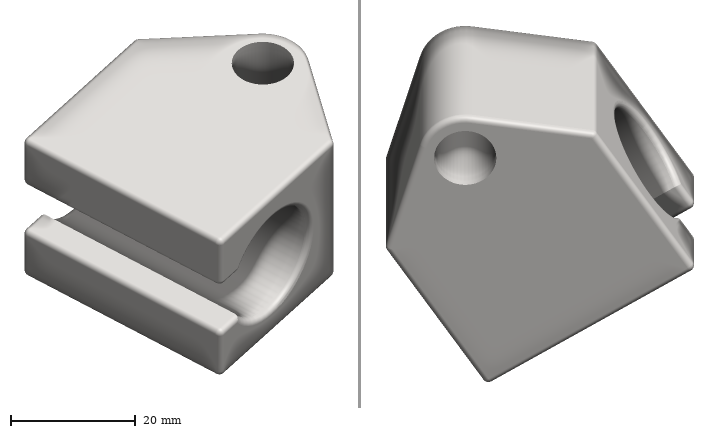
import cadquery as cq
import math

width = 40.0
length = 45.0
height = 30.0
nose_radius = 7.5
shoulder_y = 30.0
hole_diameter = 10.0
bore_radius = 10.0
bore_y = 13.67
slot_height = 10.0
edge_radius = 1.0

half_width = width / 2
nose_y = length - nose_radius

shoulder_drop = nose_y - shoulder_y
shoulder_distance = math.hypot(half_width, shoulder_drop)
tangent_angle = math.acos(nose_radius / shoulder_distance) - math.atan2(shoulder_drop, half_width)
tangent_x = nose_radius * math.cos(tangent_angle)
tangent_y = nose_y + nose_radius * math.sin(tangent_angle)


def make_body():
    """House-shaped block with a round nose, centred on X and Z."""
    return (
        cq.Workplane("XY")
        .workplane(offset=-height / 2)
        .moveTo(-half_width, 0)
        .lineTo(half_width, 0)
        .lineTo(half_width, shoulder_y)
        .lineTo(tangent_x, tangent_y)
        .threePointArc((0, length), (-tangent_x, tangent_y))
        .lineTo(-half_width, shoulder_y)
        .close()
        .extrude(height)
    )


def make_bore_and_slot():
    """Cross bore along X, opened to the front face by a narrower slot."""
    bore = cq.Workplane("YZ").center(bore_y, 0).circle(bore_radius).extrude(half_width, both=True)
    slot = cq.Workplane("XY").box(width, bore_y, slot_height, centered=(True, False, True))
    return bore.union(slot)


def round_edges(part):
    """Round every edge except the slot-to-bore lips and the tangent joints of the nose."""
    lip_y = bore_y - math.sqrt(bore_radius**2 - (slot_height / 2) ** 2)
    tolerance = 0.005
    lips = cq.selectors.BoxSelector(
        (-tolerance, lip_y - tolerance, -height / 2),
        (tolerance, lip_y + tolerance, height / 2),
    )
    smooth_joints = cq.selectors.BoxSelector(
        (-tangent_x - tolerance, tangent_y - tolerance, -tolerance),
        (tangent_x + tolerance, tangent_y + tolerance, tolerance),
    )
    return part.edges(cq.selectors.InverseSelector(lips + smooth_joints)).fillet(edge_radius)


def make_hole():
    """Vertical through hole, concentric with the nose."""
    return cq.Workplane("XY").center(0, nose_y).circle(hole_diameter / 2).extrude(height / 2, both=True)


result = round_edges(make_body().cut(make_bore_and_slot())).cut(make_hole())